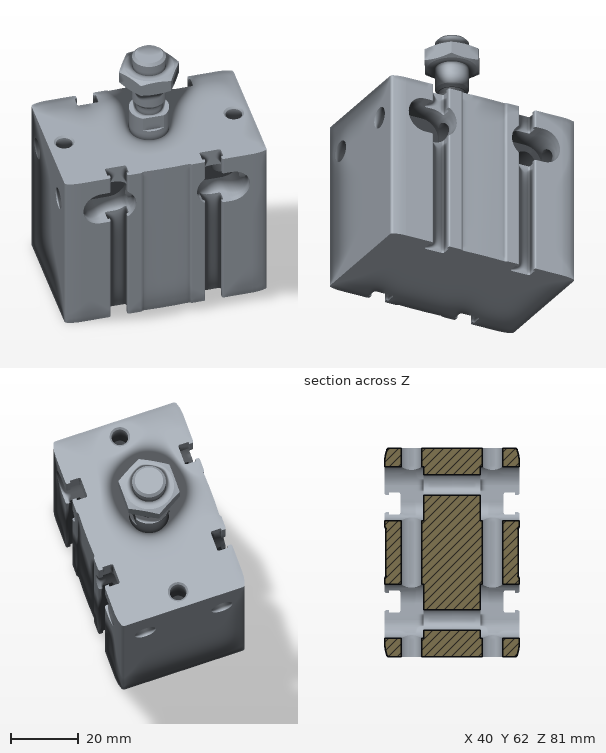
import cadquery as cq
import math

total_height = 81.0
body_width = 40.0
body_length = 62.0
body_height = 53.0
half_width = body_width / 2
half_length = body_length / 2

flank_start_y = 26.4
flank_radius = 12.15
corner_radius = 1.0

relief_outer_width = 15.5
relief_inner_width = 14.1
relief_edge_depth = 0.4
relief_middle_depth = 0.25
relief_rim_radius = 0.5

slot_pitch = 29.0
slot_mouth = 5.1
slot_mouth_radius = 0.6
slot_inner_width = 6.5
slot_lip = 1.4
slot_depth = 4.7
slot_corner_radius = 0.5

cross_hole_d = 6.6
cross_hole_z = 41.95
side_hole_pitch = 40.0
end_hole_pitch = 24.0

pocket_width = 11.0
pocket_length = 16.2
pocket_depth = 11.5

top_hole_pitch = 52.0
top_hole_d = 4.95
top_hole_chamfer = 0.6
top_hole_depth = 9.7
drill_point_angle = 118.0

collar_d = 12.0
collar_top_z = 60.9
flats_width = 10.05
flats_bottom_z = 56.4
neck_d = 8.0
neck_top_z = 63.6
thread_start_d = 8.6
thread_start_z = 64.6
thread_d = 10.05
tip_chamfer = 0.8

nut_across_flats = 16.0
nut_bottom_z = 71.7
nut_height = 5.0
nut_face_d = 14.8
nut_chamfer_angle = 20.0


def make_blank():
    """Body outline extruded, with rounded vertical corners."""
    flank_dy = half_length - flank_start_y
    flank_angle = math.asin(flank_dy / flank_radius)
    flank_dx = flank_radius * (1 - math.cos(flank_angle))
    middle_dx = flank_radius * (1 - math.cos(flank_angle / 2))
    middle_dy = flank_radius * math.sin(flank_angle / 2)
    end_x = half_width - flank_dx
    middle_x = half_width - middle_dx
    middle_y = flank_start_y + middle_dy
    outline = (
        cq.Workplane("XY")
        .moveTo(-end_x, -half_length)
        .lineTo(end_x, -half_length)
        .threePointArc((middle_x, -middle_y), (half_width, -flank_start_y))
        .lineTo(half_width, flank_start_y)
        .threePointArc((middle_x, middle_y), (end_x, half_length))
        .lineTo(-end_x, half_length)
        .threePointArc((-middle_x, middle_y), (-half_width, flank_start_y))
        .lineTo(-half_width, -flank_start_y)
        .threePointArc((-middle_x, -middle_y), (-end_x, -half_length))
        .close()
    )
    blank = outline.extrude(body_height)
    return blank.edges("|Z and (<Y or >Y)").fillet(corner_radius)


def make_relief(side):
    """Cutter for the shallow relief on the +X (side=1) or -X (side=-1) face."""
    edge_x = side * (half_width - relief_edge_depth)
    middle_x = side * (half_width - relief_middle_depth)
    face_x = side * half_width
    return (
        cq.Workplane("XY")
        .moveTo(face_x, -relief_outer_width / 2)
        .lineTo(edge_x, -relief_inner_width / 2)
        .threePointArc((middle_x, 0), (edge_x, relief_inner_width / 2))
        .lineTo(face_x, relief_outer_width / 2)
        .close()
        .extrude(body_height)
    )


def round_relief_rims(body):
    """Round the four vertical edges where the reliefs meet the wide sides."""
    for side in (-1, 1):
        for end in (-1, 1):
            rim_point = (side * half_width, end * relief_outer_width / 2, body_height / 2)
            rim = body.edges(cq.selectors.NearestToPointSelector(rim_point))
            body = rim.fillet(relief_rim_radius)
    return body


def make_slot(side, y):
    """Cutter for one undercut slot: inner channel plus a mouth with rounded lips."""
    channel_depth = slot_depth - slot_lip
    channel = (
        cq.Workplane("XY")
        .center(side * (half_width - slot_lip - channel_depth / 2), y)
        .rect(channel_depth, slot_inner_width)
        .extrude(body_height)
        .edges("|Z and " + ("<X" if side > 0 else ">X"))
        .fillet(slot_corner_radius)
    )
    face_x = side * half_width
    channel_x = side * (half_width - slot_lip)
    round_x = side * (half_width - slot_mouth_radius)
    narrow = slot_mouth / 2
    wide = narrow + slot_mouth_radius
    arc_offset = slot_mouth_radius * math.sqrt(0.5)
    arc_x = round_x + side * arc_offset
    mouth = (
        cq.Workplane("XY")
        .moveTo(channel_x, y - narrow)
        .lineTo(round_x, y - narrow)
        .threePointArc((arc_x, y - wide + arc_offset), (face_x, y - wide))
        .lineTo(face_x, y + wide)
        .threePointArc((arc_x, y + wide - arc_offset), (round_x, y + narrow))
        .lineTo(channel_x, y + narrow)
        .close()
        .extrude(body_height)
    )
    return channel.union(mouth)


def make_pocket(side, end):
    """Cutter for one rounded pocket; it reaches from the hole along X towards y = 0."""
    hole_y = side_hole_pitch / 2
    straight = pocket_length - pocket_width
    center_y = end * (hole_y - straight / 2)
    return (
        cq.Workplane("YZ", origin=(side * half_width, 0, 0))
        .center(center_y, cross_hole_z)
        .slot2D(pocket_length, pocket_width)
        .extrude(-side * pocket_depth)
    )


def make_top_hole(y):
    """Cutter for one blind hole with a drilled point and a chamfered rim."""
    radius = top_hole_d / 2
    point_height = radius / math.tan(math.radians(drill_point_angle / 2))
    bottom_z = body_height - top_hole_depth
    return (
        cq.Workplane("XZ", origin=(0, y, 0))
        .moveTo(0, body_height)
        .lineTo(radius + top_hole_chamfer, body_height)
        .lineTo(radius, body_height - top_hole_chamfer)
        .lineTo(radius, bottom_z)
        .lineTo(0, bottom_z - point_height)
        .close()
        .revolve(360, (0, 0, 0), (0, 1, 0))
    )


def make_housing():
    """Profiled block with slots, cross holes, pockets and top holes."""
    housing = make_blank()
    for side in (-1, 1):
        housing = housing.cut(make_relief(side))
    housing = round_relief_rims(housing)
    for side in (-1, 1):
        for end in (-1, 1):
            housing = housing.cut(make_slot(side, end * slot_pitch / 2))
            housing = housing.cut(make_pocket(side, end))
    for end in (-1, 1):
        side_hole = (
            cq.Workplane("YZ")
            .center(end * side_hole_pitch / 2, cross_hole_z)
            .circle(cross_hole_d / 2)
            .extrude(half_width, both=True)
        )
        end_hole = (
            cq.Workplane("XZ")
            .center(end * end_hole_pitch / 2, cross_hole_z)
            .circle(cross_hole_d / 2)
            .extrude(half_length, both=True)
        )
        housing = housing.cut(side_hole).cut(end_hole)
        housing = housing.cut(make_top_hole(end * top_hole_pitch / 2))
    return housing


def make_rod():
    """Turned rod: collar with two wrench flats, neck and threaded end."""
    rod = (
        cq.Workplane("XZ")
        .moveTo(0, body_height)
        .lineTo(collar_d / 2, body_height)
        .lineTo(collar_d / 2, collar_top_z)
        .lineTo(neck_d / 2, collar_top_z)
        .lineTo(neck_d / 2, neck_top_z)
        .lineTo(thread_start_d / 2, neck_top_z)
        .lineTo(thread_d / 2, thread_start_z)
        .lineTo(thread_d / 2, total_height - tip_chamfer)
        .lineTo(thread_d / 2 - tip_chamfer, total_height)
        .lineTo(0, total_height)
        .close()
        .revolve(360, (0, 0, 0), (0, 1, 0))
    )
    flats_height = collar_top_z - flats_bottom_z
    for side in (-1, 1):
        flat_cutter = (
            cq.Workplane("XY", origin=(0, 0, flats_bottom_z))
            .center(side * (flats_width + collar_d) / 2, 0)
            .rect(collar_d, collar_d)
            .extrude(flats_height)
        )
        rod = rod.cut(flat_cutter)
    return rod


def make_nut():
    """Hexagonal nut with corners along Y, chamfered on both faces."""
    corner_d = nut_across_flats / math.cos(math.pi / 6)
    nut_top_z = nut_bottom_z + nut_height
    drop = (corner_d - nut_face_d) / 2 * math.tan(math.radians(nut_chamfer_angle))
    hexagon = (
        cq.Workplane("XY", origin=(0, 0, nut_bottom_z))
        .transformed(rotate=(0, 0, 90))
        .polygon(6, corner_d)
        .extrude(nut_height)
    )
    chamfer_envelope = (
        cq.Workplane("XZ")
        .moveTo(0, nut_bottom_z)
        .lineTo(nut_face_d / 2, nut_bottom_z)
        .lineTo(corner_d / 2, nut_bottom_z + drop)
        .lineTo(corner_d / 2, nut_top_z - drop)
        .lineTo(nut_face_d / 2, nut_top_z)
        .lineTo(0, nut_top_z)
        .close()
        .revolve(360, (0, 0, 0), (0, 1, 0))
    )
    bore = (
        cq.Workplane("XY", origin=(0, 0, nut_bottom_z))
        .circle(thread_d / 2)
        .extrude(nut_height)
    )
    return hexagon.intersect(chamfer_envelope).cut(bore)


housing = make_housing()
rod = make_rod()
nut = make_nut()

result = cq.Compound.makeCompound([housing.val(), rod.val(), nut.val()])